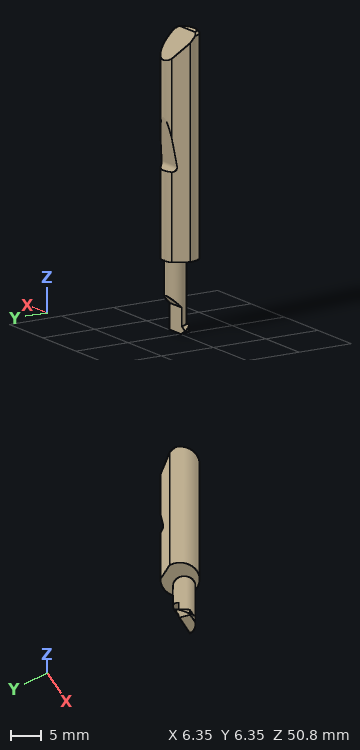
import cadquery as cq
import math

overall_length = 50.8
shank_diameter = 6.35
shank_radius = shank_diameter / 2
shank_start_z = 12.7

end_chamfer = 0.44
bevel_start_y = -1.38

flat_normal_angle = 150
flat_distance = 2.8

groove_shoulder_z = 27.8
groove_depth = 1.27
groove_root_radius = 0.8
groove_ramp_angle = 9

neck_diameter = 3.64
neck_radius = neck_diameter / 2
neck_center_x = shank_radius - neck_radius
relief_start_z = 4.5

head_height = 1.65
tip_x = -1.52
tip_z = 0.75
upper_flank_angle = 33
lower_flank_angle = 31
relief_angle = 9
heel_x = 0.07
clearance_bulge = 0.13

clear = 10


def make_shank():
    length = overall_length - shank_start_z
    shank = cq.Workplane("XY", origin=(0, 0, shank_start_z)).circle(shank_radius).extrude(length)
    return shank.faces(">Z").chamfer(end_chamfer)


def end_bevel():
    """Wedge above the 45 degree plane that starts on the end face at bevel_start_y."""
    outline = [
        (bevel_start_y, overall_length),
        (bevel_start_y + clear, overall_length - clear),
        (bevel_start_y + clear, overall_length),
    ]
    return cq.Workplane("YZ").polyline(outline).close().extrude(clear, both=True)


def locating_flat():
    """Block beyond the flat, turned about Z to the direction the flat faces."""
    block = cq.Workplane("XY").box(clear, clear, overall_length, centered=(False, True, False))
    block = block.translate((flat_distance, 0, 0))
    return block.rotate((0, 0, 0), (0, 0, 1), flat_normal_angle)


def clamping_groove():
    """Groove along X; the root arc is tangent to both the shoulder and the ramp."""
    ramp = math.radians(groove_ramp_angle)
    root_y = shank_radius - groove_depth + groove_root_radius
    root_z = groove_shoulder_z + groove_root_radius

    def on_root(angle):
        y = root_y + groove_root_radius * math.cos(angle)
        z = root_z + groove_root_radius * math.sin(angle)
        return y, z

    arc_start = on_root(-math.pi / 2)
    arc_end = on_root(math.pi - ramp)
    arc_middle = on_root((-math.pi / 2 - math.pi - ramp) / 2)
    outer_y = shank_radius + groove_root_radius
    ramp_top_z = arc_end[1] + (outer_y - arc_end[0]) / math.tan(ramp)
    outline = (
        cq.Workplane("YZ")
        .moveTo(outer_y, groove_shoulder_z)
        .lineTo(*arc_start)
        .threePointArc(arc_middle, arc_end)
        .lineTo(outer_y, ramp_top_z)
        .close()
    )
    return outline.extrude(clear, both=True)


def make_neck():
    """Relieved round neck, with the space below the tooth tip left for the head to fill."""
    neck = cq.Workplane("XY").center(neck_center_x, 0).circle(neck_radius).extrude(shank_start_z)
    relief_outline = [
        (0, 0),
        (0, relief_start_z),
        (clear, relief_start_z + clear),
        (clear, 0),
    ]
    relief = cq.Workplane("YZ").polyline(relief_outline).close().extrude(clear, both=True)
    tooth_space = cq.Workplane("XY").box(clear, clear, tip_z, centered=(False, True, False))
    tooth_space = tooth_space.translate((neck_center_x - clear, 0, 0))
    return neck.cut(relief).cut(tooth_space)


def tooth_profile(depth):
    """Tooth outline at a depth behind the rake face, where relief has narrowed it in Z."""
    upper_slope = math.tan(math.radians(upper_flank_angle))
    lower_slope = math.tan(math.radians(lower_flank_angle))
    relief = depth * math.tan(math.radians(relief_angle))
    nose_x = tip_x + 2 * relief / (upper_slope + lower_slope)
    nose_z = tip_z + relief - lower_slope * (nose_x - tip_x)
    top_z = head_height - relief
    outline = [
        (nose_x, nose_z),
        (nose_x + nose_z / lower_slope, 0),
        (neck_center_x, 0),
        (neck_center_x, top_z),
        (nose_x + (top_z - nose_z) / upper_slope, top_z),
    ]
    return cq.Wire.makePolygon([cq.Vector(x, -depth, z) for x, z in outline], close=True)


def make_head():
    """Relieved tooth trimmed to a plan whose clearance side bulges between tip and heel."""
    tooth = cq.Solid.makeLoft([tooth_profile(0), tooth_profile(neck_radius)], True)
    chord = math.hypot(heel_x - tip_x, neck_radius)
    bulge_x = (tip_x + heel_x) / 2 - clearance_bulge * neck_radius / chord
    bulge_y = -neck_radius / 2 - clearance_bulge * (heel_x - tip_x) / chord
    plan = (
        cq.Workplane("XY")
        .moveTo(tip_x, 0)
        .threePointArc((bulge_x, bulge_y), (heel_x, -neck_radius))
        .lineTo(neck_center_x, -neck_radius)
        .lineTo(neck_center_x, 0)
        .close()
    )
    return plan.extrude(head_height).intersect(cq.Workplane(tooth))


shank = make_shank().cut(end_bevel()).cut(locating_flat()).cut(clamping_groove())
result = shank.union(make_neck()).union(make_head())